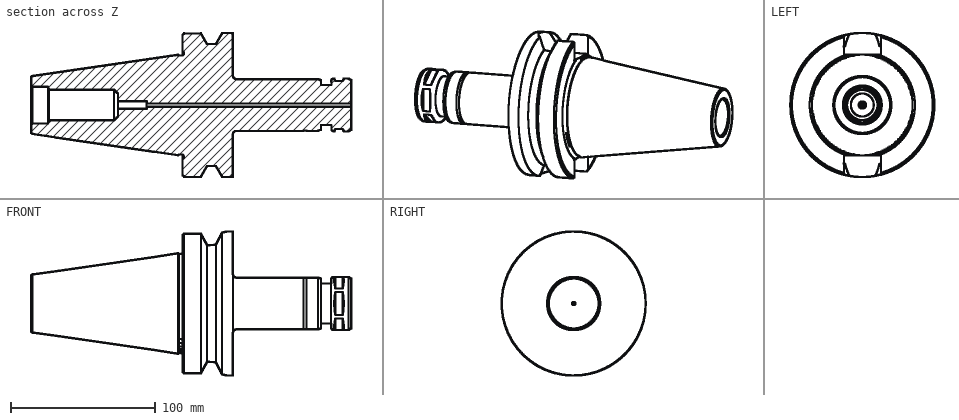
import cadquery as cq
import math


gauge_radius = 69.85 / 2
taper_length = 101.8
taper_ratio = 7 / 24
taper_end_radius = gauge_radius - taper_length * taper_ratio / 2
taper_end_chamfer = 0.8

neck_radius = 34.35
neck_chamfer = gauge_radius - neck_radius
neck_fillet = 2.0
face_recess_radius = 36.5

flange_radius = 50.0
flange_start = 3.0
flange_end = 38.0
face_recess_depth = 1.0
face_recess_floor = flange_start + face_recess_depth
flange_back_chamfer = 1.2
flange_front_chamfer_length = 1.3
flange_front_chamfer_depth = 0.2
groove_center = 23.1
groove_radius = 42.5
groove_floor_width = 6.0
groove_slope_width = (flange_radius - groove_radius) * math.tan(math.radians(30))

slot_width = 25.7
slot_floor_height = 35.0
slot_end = 34.0

shank_radius = 36 / 2
shank_end = 99.0
shank_root_fillet = 2.5
shank_end_chamfer_length = 2.0
shank_end_chamfer_depth = 0.8
mark_start = 87.0
mark_width = 2.0
mark_depth = 0.1
collar_radius = 28 / 2

nut_radius = 18.45
nut_start = 106.0
nut_end = 120.0
nut_back_fillet = 2.0
nut_front_chamfer_length = 2.0
nut_front_chamfer_depth = 1.2
flat_count = 6
flat_distance = 16.7
flat_start = 108.9
flat_end = 114.0
flat_wall_slope = 0.45
flat_cutter_clearance = 1.0

mouth_radius = 13.5
counterbore_radius = 25.3 / 2
counterbore_depth = 11.6
thread_entry_radius = 24 / 2
thread_entry_length = 0.9
thread_radius = 21 / 2
bore_depth = 60.0
bore_floor_radius = 15.9 / 2
feed_radius = 5 / 2
feed_length = 20.0
through_radius = 2 / 2


def revolve_about_x(profile):
    return profile.close().revolve(360, (0, 0, 0), (1, 0, 0))


def make_taper_and_neck():
    fillet_center = (face_recess_floor - neck_fillet, neck_radius + neck_fillet)
    diagonal = neck_fillet * math.sqrt(0.5)
    profile = (
        cq.Workplane("XY")
        .moveTo(-taper_length, 0)
        .lineTo(-taper_length, taper_end_radius - taper_end_chamfer)
        .lineTo(-taper_length + taper_end_chamfer, taper_end_radius + taper_end_chamfer * taper_ratio / 2)
        .lineTo(0, gauge_radius)
        .lineTo(neck_chamfer, neck_radius)
        .lineTo(face_recess_floor - neck_fillet, neck_radius)
        .threePointArc(
            (fillet_center[0] + diagonal, fillet_center[1] - diagonal),
            (face_recess_floor, neck_radius + neck_fillet),
        )
        .lineTo(face_recess_floor, face_recess_radius)
        .lineTo(groove_center, face_recess_radius)
        .lineTo(groove_center, 0)
    )
    return revolve_about_x(profile)


def make_flange():
    half_floor = groove_floor_width / 2
    half_mouth = half_floor + groove_slope_width
    profile = (
        cq.Workplane("XY")
        .moveTo(face_recess_floor, 0)
        .lineTo(face_recess_floor, face_recess_radius)
        .lineTo(flange_start, face_recess_radius)
        .lineTo(flange_start, flange_radius - flange_back_chamfer)
        .lineTo(flange_start + flange_back_chamfer, flange_radius)
        .lineTo(groove_center - half_mouth, flange_radius)
        .lineTo(groove_center - half_floor, groove_radius)
        .lineTo(groove_center + half_floor, groove_radius)
        .lineTo(groove_center + half_mouth, flange_radius)
        .lineTo(flange_end - flange_front_chamfer_length, flange_radius)
        .lineTo(flange_end, flange_radius - flange_front_chamfer_depth)
        .lineTo(flange_end, 0)
    )
    return revolve_about_x(profile)


def make_shank():
    root_center = (flange_end + shank_root_fillet, shank_radius + shank_root_fillet)
    diagonal = shank_root_fillet * math.sqrt(0.5)
    mark_end = mark_start + mark_width
    profile = (
        cq.Workplane("XY")
        .moveTo(groove_center, 0)
        .lineTo(groove_center, root_center[1])
        .lineTo(flange_end, root_center[1])
        .threePointArc(
            (root_center[0] - diagonal, root_center[1] - diagonal),
            (root_center[0], shank_radius),
        )
        .lineTo(mark_start, shank_radius)
        .lineTo(mark_start, shank_radius - mark_depth)
        .lineTo(mark_end, shank_radius - mark_depth)
        .lineTo(mark_end, shank_radius)
        .lineTo(shank_end - shank_end_chamfer_length, shank_radius)
        .lineTo(shank_end, shank_radius - shank_end_chamfer_depth)
        .lineTo(shank_end, collar_radius)
        .lineTo(nut_end, collar_radius)
        .lineTo(nut_end, 0)
    )
    return revolve_about_x(profile)


def make_nut():
    diagonal = nut_back_fillet * math.sqrt(0.5)
    profile = (
        cq.Workplane("XY")
        .moveTo(nut_start, 0)
        .lineTo(nut_start, nut_radius - nut_back_fillet)
        .threePointArc(
            (nut_start + nut_back_fillet - diagonal, nut_radius - nut_back_fillet + diagonal),
            (nut_start + nut_back_fillet, nut_radius),
        )
        .lineTo(nut_end - nut_front_chamfer_length, nut_radius)
        .lineTo(nut_end, nut_radius - nut_front_chamfer_depth)
        .lineTo(nut_end, 0)
    )
    return revolve_about_x(profile)


def make_flat_cutter():
    """Trapezoid prism that leaves one sunk wrench flat facing -Y."""
    outer_radius = nut_radius + flat_cutter_clearance
    wall_run = flat_wall_slope * (outer_radius - flat_distance)
    prism = (
        cq.Workplane("XY")
        .moveTo(flat_start, -flat_distance)
        .lineTo(flat_end, -flat_distance)
        .lineTo(flat_end + wall_run, -outer_radius)
        .lineTo(flat_start - wall_run, -outer_radius)
        .close()
        .extrude(nut_radius, both=True)
    )
    return prism


def cut_wrench_flats(body):
    cutter = make_flat_cutter()
    for index in range(flat_count):
        angle = index * 360 / flat_count
        body = body.cut(cutter.rotate((0, 0, 0), (1, 0, 0), angle))
    return body


def cut_drive_slots(body):
    half_width = slot_width / 2
    slot = (
        cq.Workplane("XY", origin=(0, 0, slot_floor_height))
        .moveTo(0, -half_width)
        .lineTo(slot_end - half_width, -half_width)
        .threePointArc((slot_end, 0), (slot_end - half_width, half_width))
        .lineTo(0, half_width)
        .close()
        .extrude(flange_radius - slot_floor_height)
    )
    return body.cut(slot).cut(slot.mirror("XY"))


def cut_bore(body):
    mouth_chamfer = mouth_radius - counterbore_radius
    counterbore_end = -taper_length + counterbore_depth
    bore_end = -taper_length + bore_depth
    feed_end = bore_end + feed_length
    profile = (
        cq.Workplane("XY")
        .moveTo(-taper_length, 0)
        .lineTo(-taper_length, mouth_radius)
        .lineTo(-taper_length + mouth_chamfer, counterbore_radius)
        .lineTo(counterbore_end, counterbore_radius)
        .lineTo(counterbore_end, thread_entry_radius)
        .lineTo(counterbore_end + thread_entry_length, thread_radius)
        .lineTo(bore_end - (thread_radius - bore_floor_radius), thread_radius)
        .lineTo(bore_end, bore_floor_radius)
        .lineTo(bore_end, feed_radius)
        .lineTo(feed_end, feed_radius)
        .lineTo(feed_end, through_radius)
        .lineTo(nut_end, through_radius)
        .lineTo(nut_end, 0)
    )
    return body.cut(revolve_about_x(profile))


body = make_taper_and_neck().union(make_flange()).union(make_shank()).union(make_nut())
body = cut_wrench_flats(body)
body = cut_drive_slots(body)
result = cut_bore(body)